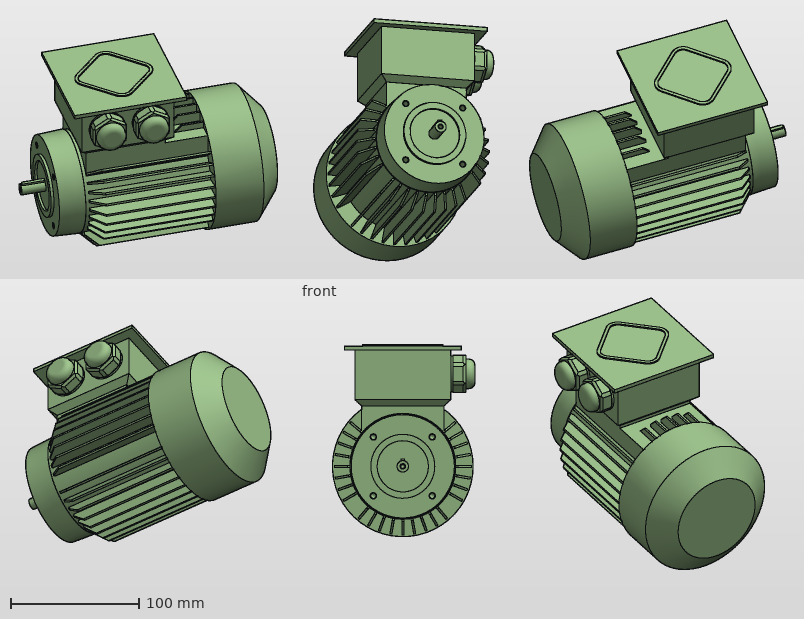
import cadquery as cq
import math


overall_width = 111.5
overall_height = 150.0

shaft_diameter = 9.0
key_width = 3.0
key_top = 5.8
key_tip_gap = 0.8
centre_bore_diameter = 3.2
centre_mouth_diameter = 4.2
centre_bore_depth = 8.0

drill_point_angle = 118
mouth_angle = 90

spigot_diameter = 50.0
spigot_front = 17.5
recess_diameter = 40.0
recess_depth = 2.0
flange_face = 19.9
flange_back = 41.2
flange_front_diameter = 80.5
flange_back_diameter = 82.8
bolt_spacing = 46.0
bolt_hole_diameter = 4.2
bolt_mouth_diameter = 5.0
bolt_hole_depth = 10.0

body_diameter = 82.0
body_front = 44.0
cowl_front = 143.0
cowl_taper_start = 182.0
cowl_end = 199.0
cowl_diameter = 110.0
cowl_end_diameter = 71.0

fin_radius = 53.5
fin_thickness = 1.5
fin_chamfer = 10.3
fin_step_angle = 10
side_fins_below = 3
side_fins_above = 4
bottom_fins_each_side = 4
top_fin_pitch = 10.0
top_fins_each_side = 2
top_fin_front = 119.0
top_fin_chamfer = 6.2

box_centre_y = 76.5
neck_width = 64.5
saddle_top = 44.4
neck_top = 47.2
box_bottom = 52.1
box_width = 75.0
lid_bottom = 90.7
lid_top = 94.0
lid_width = 91.3
frame_top = overall_height - cowl_diameter / 2
frame_setback = 0.4
frame_side = 50.0
frame_corner_radius = 9.5
frame_rim = 2.5

gland_spacing = 35.0
gland_axis_height = 72.2
gland_collar_length = 1.8
gland_collar_diameter = 28.0
gland_nut_length = 10.1
gland_nut_across_flats = 27.0
gland_nut_diameter = 29.5
gland_nut_chamfer_length = 2.4
gland_nut_chamfer_inset = 1.2
gland_cap_diameter = 23.3
gland_cap_rounding = 5.0
gland_end = overall_width - cowl_diameter / 2


def rod(diameter, start, end):
    """Cylinder on the motor axis from Y = start to Y = end."""
    face = cq.Workplane("XZ", origin=(0, start, 0))
    return face.circle(diameter / 2).extrude(start - end)


def block(width_x, y_start, y_end, z_bottom, z_top):
    """Box centred on X = 0 between the given Y and Z limits."""
    size = (width_x, y_end - y_start, z_top - z_bottom)
    return cq.Workplane("XY").box(*size, centered=(True, False, False)).translate((0, y_start, z_bottom))


def drilled_hole(diameter, mouth_diameter, depth):
    """Hole running along +Y from Y = 0 with a conical mouth and a drill point."""
    radius = diameter / 2
    mouth_depth = (mouth_diameter - diameter) / 2 / math.tan(math.radians(mouth_angle / 2))
    point_depth = radius / math.tan(math.radians(drill_point_angle / 2))
    profile = [
        (0, 0),
        (mouth_diameter / 2, 0),
        (radius, mouth_depth),
        (radius, depth),
        (0, depth + point_depth),
    ]
    return cq.Workplane("XY").polyline(profile).close().revolve(360, (0, 0, 0), (0, 1, 0))


def fin(start, height, chamfer):
    """Upright fin on X = 0 with its outer front corner cut at 45 degrees."""
    outline = [
        (start, 0),
        (start, height - chamfer),
        (start + chamfer, height),
        (cowl_front, height),
        (cowl_front, 0),
    ]
    return cq.Workplane("YZ").polyline(outline).close().extrude(fin_thickness / 2, both=True)


def make_housing():
    """Flange, stator body and fan cowl turned about the motor axis."""
    profile = [
        (0, spigot_front),
        (spigot_diameter / 2, spigot_front),
        (spigot_diameter / 2, flange_face),
        (flange_front_diameter / 2, flange_face),
        (flange_back_diameter / 2, flange_back),
        (body_diameter / 2, flange_back),
        (body_diameter / 2, cowl_front),
        (cowl_diameter / 2, cowl_front),
        (cowl_diameter / 2, cowl_taper_start),
        (cowl_end_diameter / 2, cowl_end),
        (0, cowl_end),
    ]
    housing = cq.Workplane("XY").polyline(profile).close().revolve(360, (0, 0, 0), (0, 1, 0))
    housing = housing.cut(rod(recess_diameter, spigot_front, spigot_front + recess_depth))
    bolt_hole = drilled_hole(bolt_hole_diameter, bolt_mouth_diameter, bolt_hole_depth)
    half_spacing = bolt_spacing / 2
    for x in (-half_spacing, half_spacing):
        for z in (-half_spacing, half_spacing):
            housing = housing.cut(bolt_hole.translate((x, flange_face, z)))
    return housing


def make_shaft():
    """Shaft with a round-ended key and a countersunk centre bore."""
    key_radius = key_width / 2
    key_end_y = key_tip_gap + key_radius
    key = block(key_width, key_end_y, flange_face, 0, key_top)
    key_end = cq.Workplane("XY", origin=(0, key_end_y, 0)).circle(key_radius).extrude(key_top)
    bore = drilled_hole(centre_bore_diameter, centre_mouth_diameter, centre_bore_depth)
    return rod(shaft_diameter, 0, flange_face).union(key).union(key_end).cut(bore)


def make_fins():
    """Radial fins at the sides and bottom, parallel fins on top."""
    side_angles = [fin_step_angle * i for i in range(-side_fins_below, side_fins_above + 1)]
    bottom_angles = [
        180 + fin_step_angle * i for i in range(-bottom_fins_each_side, bottom_fins_each_side + 1)
    ]
    right_angles = [90 - elevation for elevation in side_angles]
    left_angles = [-angle for angle in right_angles]
    radial_fin = fin(body_front, fin_radius, fin_chamfer)
    fins = cq.Workplane("XY")
    for angle in right_angles + left_angles + bottom_angles:
        fins = fins.union(radial_fin.rotate((0, 0, 0), (0, 1, 0), angle))

    for i in range(-top_fins_each_side, top_fins_each_side + 1):
        x = i * top_fin_pitch
        height = math.sqrt(fin_radius**2 - x**2)
        fins = fins.union(fin(top_fin_front, height, top_fin_chamfer).translate((x, 0, 0)))
    return fins


def make_terminal_box():
    """Saddle, neck, flared box and lid carrying a raised diamond frame."""
    neck_back = body_front + neck_width
    saddle = block(neck_width, body_front, cowl_front, 0, saddle_top)
    neck = block(neck_width, body_front, neck_back, 0, neck_top)
    flare = (
        cq.Workplane("XY", origin=(0, box_centre_y, neck_top))
        .rect(neck_width, neck_width)
        .workplane(offset=box_bottom - neck_top)
        .rect(box_width, box_width)
        .loft(ruled=True)
    )
    box_floor = cq.Workplane("XY", origin=(0, box_centre_y, box_bottom))
    box = box_floor.rect(box_width, box_width).extrude(lid_bottom - box_bottom)
    lid_plane = cq.Workplane("XY", origin=(0, box_centre_y, lid_bottom))
    lid = lid_plane.rect(lid_width, lid_width).extrude(lid_top - lid_bottom)
    frame = rounded_square(frame_side, frame_corner_radius)
    opening = rounded_square(frame_side - 2 * frame_rim, frame_corner_radius - frame_rim)
    frame = frame.cut(opening).rotate((0, 0, 0), (0, 0, 1), 45)
    frame = frame.translate((0, box_centre_y - frame_setback, lid_top))
    return saddle.union(neck).union(flare).union(box).union(lid).union(frame)


def rounded_square(side, corner_radius):
    """Square plate of the frame's height with rounded upright edges."""
    plate = cq.Workplane("XY").rect(side, side).extrude(frame_top - lid_top)
    return plate.edges("|Z").fillet(corner_radius)


def make_gland(y):
    """Cable gland on the +X wall: collar, hexagon nut and rounded cap."""
    wall = cq.Workplane("YZ", origin=(box_width / 2, y, gland_axis_height))
    collar = wall.circle(gland_collar_diameter / 2).extrude(gland_collar_length)
    nut_face = wall.workplane(offset=gland_collar_length)
    across_corners = gland_nut_across_flats / math.cos(math.radians(30))
    nut = nut_face.transformed(rotate=(0, 0, 90)).polygon(6, across_corners).extrude(gland_nut_length)
    nut = nut.faces(">X").chamfer(gland_nut_chamfer_length, gland_nut_chamfer_inset)
    nut = nut.intersect(nut_face.circle(gland_nut_diameter / 2).extrude(gland_nut_length))
    cap = wall.circle(gland_cap_diameter / 2).extrude(gland_end - box_width / 2)
    cap = cap.faces(">X").edges().fillet(gland_cap_rounding)
    return collar.union(nut).union(cap)


result = make_housing().union(make_shaft()).union(make_terminal_box()).union(make_fins())
for side in (-1, 1):
    result = result.union(make_gland(box_centre_y + side * gland_spacing / 2))